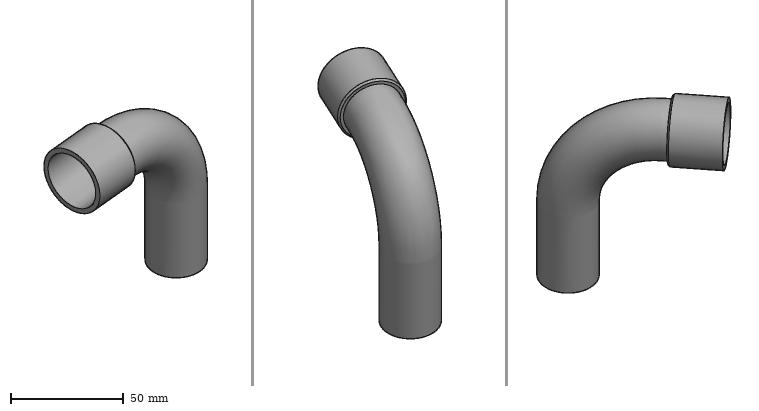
import cadquery as cq

overall_height = 101.5
overall_depth = 85.2
pipe_diameter = 28.0
socket_diameter = 33.0
socket_length = 25.1
socket_chamfer = 0.9
socket_bore_diameter = pipe_diameter
bend_radius = 42.8

pipe_radius = pipe_diameter / 2
axis_height = overall_height - socket_diameter / 2
vertical_leg_length = axis_height - bend_radius
mouth_y = pipe_radius - overall_depth
socket_back_y = mouth_y + socket_length
neck_length = -bend_radius - socket_back_y
socket_bore_depth = socket_length - socket_chamfer


def cylinder_toward_front(diameter, length, start_y):
    """Horizontal cylinder on the socket axis, from start_y toward -Y."""
    plane = cq.Plane(origin=(0, start_y, axis_height), xDir=(1, 0, 0), normal=(0, -1, 0))
    return cq.Workplane(plane).circle(diameter / 2).extrude(length)


vertical_leg = cq.Workplane("XY").circle(pipe_radius).extrude(vertical_leg_length)

bend = (
    cq.Workplane("XY")
    .workplane(offset=vertical_leg_length)
    .circle(pipe_radius)
    .revolve(90, (0, -bend_radius, 0), (1, -bend_radius, 0))
)

neck = cylinder_toward_front(pipe_diameter, neck_length, -bend_radius)

socket = (
    cylinder_toward_front(socket_diameter, socket_length, socket_back_y)
    .faces(">Y")
    .chamfer(socket_chamfer)
)
socket_bore = cylinder_toward_front(
    socket_bore_diameter, socket_bore_depth, mouth_y + socket_bore_depth
)

result = vertical_leg.union(bend).union(neck).union(socket).cut(socket_bore)